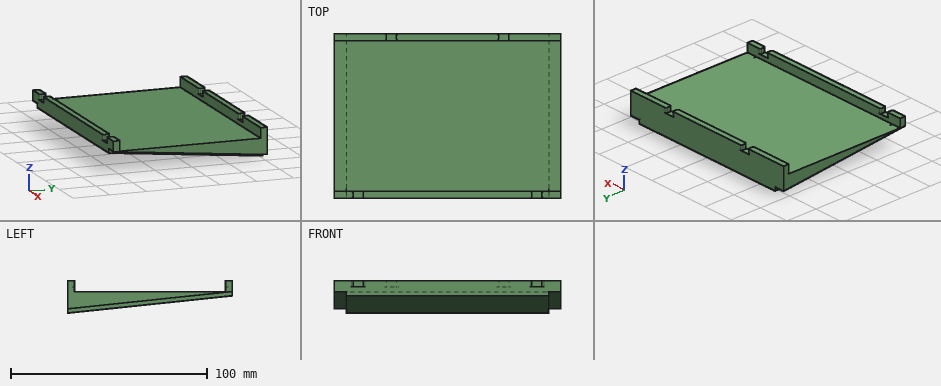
import cadquery as cq
import math

length = 115.46
depth = 83.8
height = 16.54

wall_height = 5.5
wall_thickness = 3.6

slope_angle = 6.0
pad_width = 102.8

notch_width = 5.1
notch_depth = 3.0
notch_corner_radius = 0.9
front_notch_offset = 45.5
back_notch_offset = 28.5

slope_drop = depth * math.tan(math.radians(slope_angle))
floor_z = height - wall_height
pad_front_z = slope_drop
pad_thickness = floor_z - pad_front_z
front_y = -depth / 2
back_y = depth / 2


def extrude_along_length(profile_points, width):
    """Extrude a (y, z) profile along X, centred on x = 0."""
    return cq.Workplane("YZ").polyline(profile_points).close().extrude(width / 2, both=True)


def make_wedge():
    """Full-length wedge whose underside starts at floor level in front and drops to the back."""
    profile = [(front_y, floor_z), (back_y, floor_z), (back_y, pad_thickness)]
    return extrude_along_length(profile, length)


def make_pad():
    """Narrower raised pad of constant thickness under the wedge."""
    profile = [
        (front_y, pad_front_z),
        (front_y, floor_z),
        (back_y, pad_thickness),
        (back_y, 0),
    ]
    return extrude_along_length(profile, pad_width)


def make_wall(y_center, notch_offset):
    """Upright wall with two notches whose upright corners are rounded outwards."""
    wall = (
        cq.Workplane("XY", origin=(0, y_center, floor_z))
        .box(length, wall_thickness, wall_height, centered=(True, True, False))
    )
    notch_z = height - notch_depth
    for notch_x in (-notch_offset, notch_offset):
        notch = (
            cq.Workplane("XY", origin=(notch_x, y_center, notch_z))
            .box(notch_width, wall_thickness, notch_depth, centered=(True, True, False))
        )
        wall = wall.cut(notch)
    notch_corners = cq.selectors.BoxSelector(
        (-notch_offset - notch_width, y_center - wall_thickness, notch_z),
        (notch_offset + notch_width, y_center + wall_thickness, height),
    )
    return wall.edges("|Z").edges(notch_corners).fillet(notch_corner_radius)


front_wall = make_wall(front_y + wall_thickness / 2, front_notch_offset)
back_wall = make_wall(back_y - wall_thickness / 2, back_notch_offset)

result = make_wedge().union(make_pad()).union(front_wall).union(back_wall)